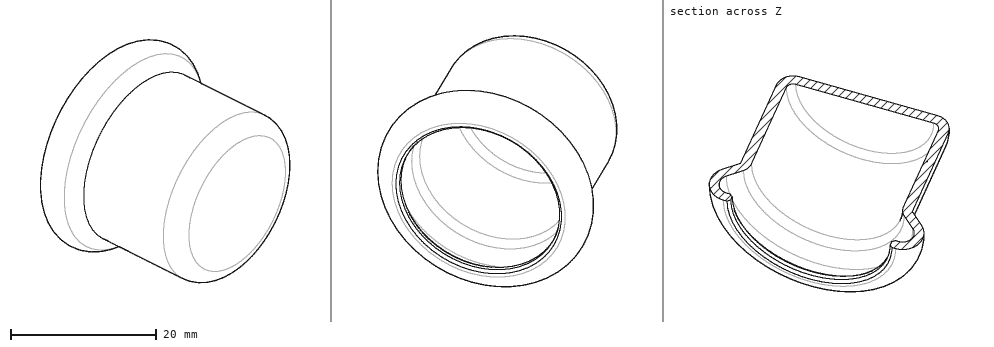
import cadquery as cq
import math

length = 24.0
body_radius = 25.2 / 2
bore_radius = 22.2 / 2
wall = body_radius - bore_radius

bead_radius = 2.95
bead_wall = 1.4
bead_cavity_radius = bead_radius - bead_wall
bead_center_x = bead_radius
shoulder_end_x = 6.95

mouth_radius = 23.3 / 2
lip_chamfer = 0.4

closed_end_inner_fillet = 1.0
closed_end_outer_fillet = closed_end_inner_fillet + wall
throat_fillet = 2.0

tangent_angle = math.acos(bead_radius / (shoulder_end_x - bead_center_x))


def bead_point(radius, angle):
    """Point (x, r) on a circle about the bead centre; the angle is measured from +X outwards."""
    return (bead_center_x + radius * math.cos(angle), body_radius + radius * math.sin(angle))


def revolve_about_x(half_section):
    """Close a half-section whose ends lie on the X axis and turn it into a solid."""
    return half_section.close().revolve(360, (0, 0, 0), (1, 0, 0))


def outer_body():
    """Solid envelope: bead, shoulder cone, body and rounded closed end."""
    crown = bead_point(bead_radius, math.pi / 2)
    shoulder_start = bead_point(bead_radius, tangent_angle)
    round_start_x = length - closed_end_outer_fillet
    end_face_radius = body_radius - closed_end_outer_fillet
    half_section = (
        cq.Workplane("XY")
        .moveTo(0, 0)
        .lineTo(0, body_radius)
        .threePointArc(crown, shoulder_start)
        .lineTo(shoulder_end_x, body_radius)
        .lineTo(round_start_x, body_radius)
        .radiusArc((length, end_face_radius), closed_end_outer_fillet)
        .lineTo(length, 0)
    )
    return revolve_about_x(half_section)


def cavity():
    """Hollow: chamfered mouth, bead groove, inner shoulder cone, rounded throat and bore."""
    chamfer_radius = mouth_radius + lip_chamfer
    groove_crown = bead_point(bead_cavity_radius, math.pi / 2)
    cone_start = bead_point(bead_cavity_radius, tangent_angle)

    cone_angle = math.pi / 2 - tangent_angle
    corner_x = cone_start[0] + (cone_start[1] - bore_radius) / math.tan(cone_angle)
    tangent_length = throat_fillet * math.tan(cone_angle / 2)
    throat_start = (
        corner_x - tangent_length * math.cos(cone_angle),
        bore_radius + tangent_length * math.sin(cone_angle),
    )
    throat_end = (corner_x + tangent_length, bore_radius)

    floor_x = length - wall
    floor_radius = bore_radius - closed_end_inner_fillet
    half_section = (
        cq.Workplane("XY")
        .moveTo(0, 0)
        .lineTo(0, chamfer_radius)
        .lineTo(lip_chamfer, mouth_radius)
        .lineTo(bead_wall - lip_chamfer, mouth_radius)
        .lineTo(bead_wall, chamfer_radius)
        .lineTo(bead_wall, body_radius)
        .threePointArc(groove_crown, cone_start)
        .lineTo(*throat_start)
        .radiusArc(throat_end, -throat_fillet)
        .lineTo(floor_x - closed_end_inner_fillet, bore_radius)
        .radiusArc((floor_x, floor_radius), closed_end_inner_fillet)
        .lineTo(floor_x, 0)
    )
    return revolve_about_x(half_section)


result = outer_body().cut(cavity())